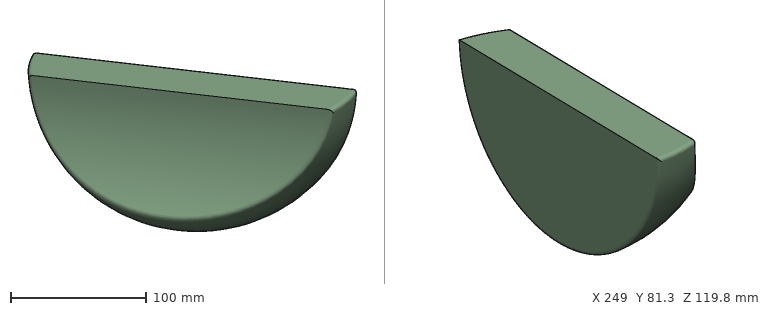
import cadquery as cq

sphere_radius = 125.0
sphere_center_y = 4.7
sphere_center_z = 5.0
top_depth = 40.0
scoop_middle = (-56.3, -51.0)
scoop_low = (-84.6, -86.1)
edge_radius = 3.0

profile = (
    cq.Workplane("YZ")
    .moveTo(0, 0)
    .lineTo(-top_depth, 0)
    .threePointArc(scoop_middle, scoop_low)
    .lineTo(scoop_low[0], -sphere_radius)
    .lineTo(0, -sphere_radius)
    .close()
)
scooped_bar = profile.extrude(sphere_radius, both=True)

ball = cq.Workplane("XY").sphere(sphere_radius).translate((0, sphere_center_y, sphere_center_z))
body = scooped_bar.intersect(ball)

result = body.faces("%SPHERE").edges().fillet(edge_radius)